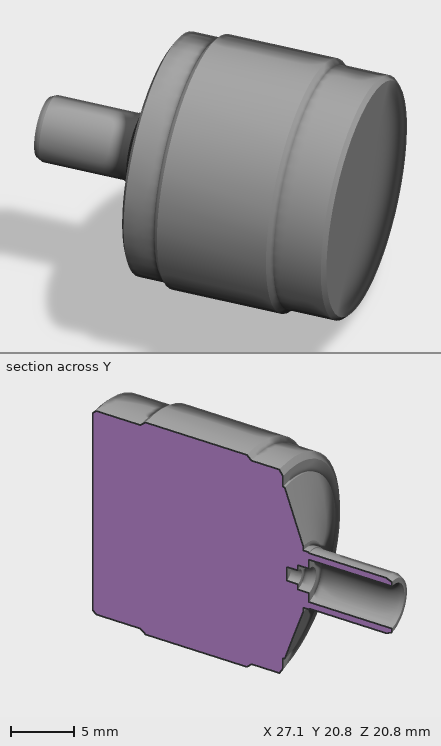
import cadquery as cq

total_length = 27.1

stem_radius = 2.73
stem_tip_chamfer_length = 0.5
stem_tip_chamfer_depth = 0.25
tip_radius = stem_radius - stem_tip_chamfer_depth
collar_radius = 2.82
collar_start = 7.5
collar_length = 0.5

cone_start = collar_start + collar_length
cone_small_radius = 3.2
cone_large_radius = 8.4
cone_length = 1.68
cone_rim_length = 0.17

land_radius = 9.975
land_chamfer_length = 0.32
land_chamfer_depth = 0.55
band_radius = 10.39
front_band_chamfer_length = band_radius - land_radius
rear_band_chamfer_length = 0.47
band_start = 12.7
band_end = 22.75
rear_chamfer = 0.35

bore_steps = [
    (2.05, 7.5),
    (1.17, 8.5),
    (0.65, 9.5),
]


def turned_body():
    """Revolve the outer profile about the X axis."""
    rim_start = cone_start + cone_length
    body_start = rim_start + cone_rim_length
    profile = [
        (0, 0),
        (0, tip_radius),
        (stem_tip_chamfer_length, stem_radius),
        (collar_start, stem_radius),
        (collar_start, collar_radius),
        (cone_start, collar_radius),
        (cone_start, cone_small_radius),
        (rim_start, cone_large_radius),
        (body_start, cone_large_radius),
        (body_start, land_radius - land_chamfer_depth),
        (body_start + land_chamfer_length, land_radius),
        (band_start, land_radius),
        (band_start + front_band_chamfer_length, band_radius),
        (band_end - rear_band_chamfer_length, band_radius),
        (band_end, land_radius),
        (total_length - rear_chamfer, land_radius),
        (total_length, land_radius - rear_chamfer),
        (total_length, 0),
    ]
    return cq.Workplane("XZ").polyline(profile).close().revolve(360, (0, 0, 0), (1, 0, 0))


def bore_step(radius, depth):
    """Cylinder on the X axis reaching from the stem tip to the given depth."""
    return cq.Workplane("YZ").circle(radius).extrude(depth)


result = turned_body()
for step_radius, step_depth in bore_steps:
    result = result.cut(bore_step(step_radius, step_depth))